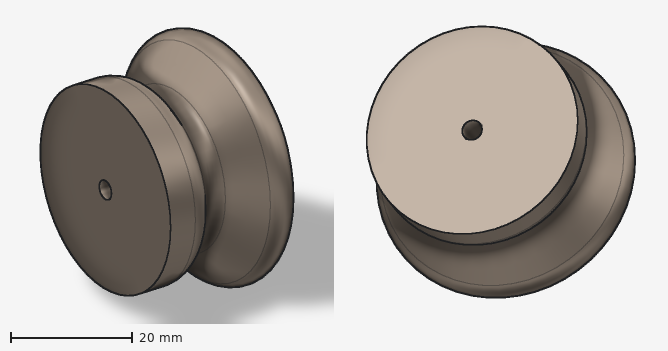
import cadquery as cq
import math

knob_radius = 22.0
knob_height = 30.0

base_radius = 18.05
base_straight_height = 5.0
shoulder_fillet = 4.3

neck_radius = 13.5
neck_fillet = 2.5
neck_height = 11.75

rim_fillet = 3.0
rim_height = 20.75

hole_diameter = 3.4
hole_depth = 12.0
drill_point_angle = 118.0

shoulder_center = (base_radius - shoulder_fillet, base_straight_height)
neck_center = (neck_radius + neck_fillet, neck_height)
rim_center = (knob_radius - rim_fillet, rim_height)


def on_circle(center, radius, angle):
    """Point of a circle at an angle in radians."""
    return (center[0] + radius * math.cos(angle), center[1] + radius * math.sin(angle))


def crossing_tangent(center_1, radius_1, center_2, radius_2, side):
    """Contact angle on circle 1 of a line tangent to two circles, passing between them."""
    dx = center_2[0] - center_1[0]
    dy = center_2[1] - center_1[1]
    offset = math.acos((radius_1 + radius_2) / math.hypot(dx, dy))
    return math.atan2(dy, dx) + side * offset


def make_body():
    """Revolve the outline of smoothly joined arcs and straight flanks."""
    shoulder_angle = crossing_tangent(
        shoulder_center, shoulder_fillet, neck_center, neck_fillet, side=-1
    )
    flank_angle = crossing_tangent(neck_center, neck_fillet, rim_center, rim_fillet, side=1)

    crown_rise = knob_height - rim_height
    dome_radius = (rim_center[0] ** 2 + crown_rise**2 - rim_fillet**2) / (2 * (crown_rise - rim_fillet))
    dome_center = (0, knob_height - dome_radius)
    dome_angle = math.atan2(rim_center[1] - dome_center[1], rim_center[0])
    dome_middle_angle = (dome_angle + math.pi / 2) / 2

    return (
        cq.Workplane("XY")
        .lineTo(base_radius, 0)
        .lineTo(base_radius, base_straight_height)
        .threePointArc(
            on_circle(shoulder_center, shoulder_fillet, shoulder_angle / 2),
            on_circle(shoulder_center, shoulder_fillet, shoulder_angle),
        )
        .lineTo(*on_circle(neck_center, neck_fillet, shoulder_angle + math.pi))
        .threePointArc(
            (neck_radius, neck_height),
            on_circle(neck_center, neck_fillet, flank_angle),
        )
        .lineTo(*on_circle(rim_center, rim_fillet, flank_angle - math.pi))
        .threePointArc(
            (knob_radius, rim_height),
            on_circle(rim_center, rim_fillet, dome_angle),
        )
        .threePointArc(
            on_circle(dome_center, dome_radius, dome_middle_angle),
            (0, knob_height),
        )
        .close()
        .revolve(360, (0, 0), (0, 1))
    )


def make_hole():
    """Blind screw hole with a conical drill point, entering from the mounting face."""
    hole_radius = hole_diameter / 2
    point_depth = hole_radius / math.tan(math.radians(drill_point_angle / 2))
    return (
        cq.Workplane("XY")
        .lineTo(hole_radius, 0)
        .lineTo(hole_radius, hole_depth)
        .lineTo(0, hole_depth + point_depth)
        .close()
        .revolve(360, (0, 0), (0, 1))
    )


result = make_body().cut(make_hole())